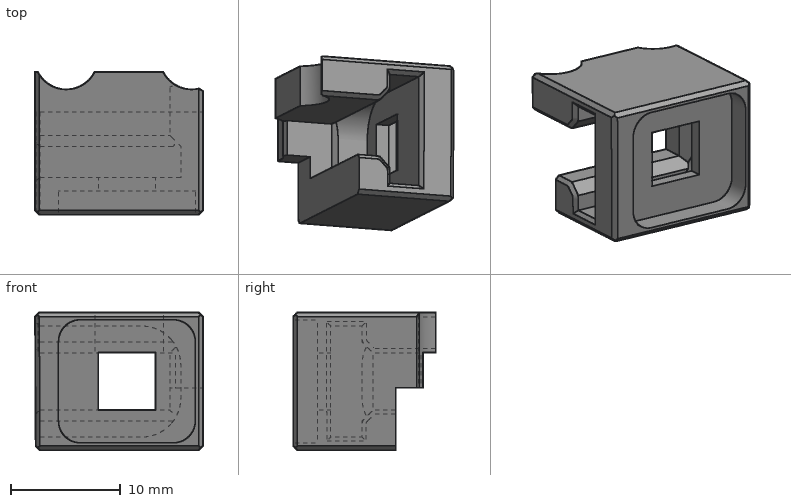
import cadquery as cq

WIDTH = 15.3
DEPTH = 13.0
HEIGHT = 12.55
SIDE_LEAN = 0.06
EDGE_CHAMFER = 0.4
CHAMFER_ANGLE = 45
MID_Z = HEIGHT / 2
CLEARANCE = 5.0

WINDOW_SIZE = 5.2
WINDOW_X = 8.37

RECESS_WIDTH = 12.45
RECESS_HEIGHT = 11.2
RECESS_RADIUS = 2.0
RECESS_DEPTH = 2.2

HEAD_FRONT_Y = 3.4
HEAD_BACK_Y = 6.25
HEAD_HEIGHT = 10.1
HEAD_END_X = 13.25
HEAD_END_RADIUS = 3.55
FLARE = 1.0
FLARE_ANGLE = 45
THROAT_FRONT_Y = HEAD_BACK_Y + FLARE
THROAT_END_X = HEAD_END_X - FLARE
THROAT_TOP_Z = MID_Z + WINDOW_SIZE / 2

BASE_BACK_Y = 9.36
WEB_BOTTOM_Z = 5.68
WEB_BACK_Y = 11.83
WEB_SLOPE_START_Y = 11.63
WEB_SLOPE_LENGTH = 0.5

SCALLOP_RADIUS = 2.89
SCALLOP_Y = 14.3
SCALLOP_MID_X = 8.55
SCALLOP_PITCH = 11.4

CORNER_BEVEL_WIDTH = 0.4
CORNER_BEVEL_INNER_Y = 11.5
CORNER_BEVEL_OUTER_Y = 11.25


def box(x_range, y_range, z_range):
    """Axis-aligned box between the given limits."""
    sizes = [high - low for low, high in (x_range, y_range, z_range)]
    corner = (x_range[0], y_range[0], z_range[0])
    return cq.Workplane("XY").box(*sizes, centered=False).translate(corner)


def front_plane(x, y):
    """Workplane facing -Y, centred at mid height."""
    return cq.Workplane("XZ", origin=(x, y, MID_Z))


def make_block():
    """Full-depth block with the leaning side and bevelled outer edges."""
    outline = [(SIDE_LEAN, 0), (WIDTH, 0), (WIDTH, HEIGHT), (0, HEIGHT)]
    block = cq.Workplane("XZ").polyline(outline).close().extrude(-DEPTH)
    mitred = block
    for edges in ("|Y", "|X and <Y", "<Y and (not |X)"):
        mitred = mitred.intersect(block.edges(edges).chamfer(EDGE_CHAMFER))
    return mitred


def cut_back_steps(body):
    """Leave the slab at full depth, the web shorter and the base shortest."""
    all_x = (-CLEARANCE, WIDTH + CLEARANCE)
    beyond = DEPTH + CLEARANCE
    body = body.cut(box(all_x, (BASE_BACK_Y, beyond), (-CLEARANCE, WEB_BOTTOM_Z)))
    body = body.cut(box(all_x, (WEB_BACK_Y, beyond), (WEB_BOTTOM_Z, THROAT_TOP_Z)))
    slope = (
        cq.Workplane("XY", origin=(0, 0, WEB_BOTTOM_Z))
        .moveTo(THROAT_END_X, WEB_SLOPE_START_Y)
        .lineTo(THROAT_END_X + WEB_SLOPE_LENGTH, WEB_BACK_Y)
        .lineTo(THROAT_END_X, WEB_BACK_Y)
        .close()
        .extrude(THROAT_TOP_Z - WEB_BOTTOM_Z)
    )
    return body.cut(slope)


def cut_scallops(body):
    """Two upright round notches in the back edge."""
    for side in (-1, 1):
        x = SCALLOP_MID_X + side * SCALLOP_PITCH / 2
        scallop = cq.Workplane("XY").center(x, SCALLOP_Y).circle(SCALLOP_RADIUS).extrude(HEIGHT)
        body = body.cut(scallop)
    return body


def cut_corner_bevel(body):
    """Bevel the upright corner beside the second scallop."""
    inner_x = WIDTH - CORNER_BEVEL_WIDTH
    bevel = (
        cq.Workplane("XY")
        .moveTo(inner_x, CORNER_BEVEL_INNER_Y)
        .lineTo(WIDTH, CORNER_BEVEL_OUTER_Y)
        .lineTo(WIDTH, DEPTH)
        .lineTo(inner_x, DEPTH)
        .close()
        .extrude(HEIGHT)
    )
    return body.cut(bevel)


def cut_front_recess(body):
    """Rounded recess in the front face and the square window behind it."""
    recess = (
        front_plane(WINDOW_X, 0)
        .rect(RECESS_WIDTH, RECESS_HEIGHT)
        .extrude(-RECESS_DEPTH)
        .edges("|Y")
        .fillet(RECESS_RADIUS)
    )
    window = front_plane(WINDOW_X, 0).rect(WINDOW_SIZE, WINDOW_SIZE).extrude(-HEAD_BACK_Y)
    return body.cut(recess).cut(window)


def slot_head(back_y):
    """Head of the slot, rounded at its inner end, from its front wall to back_y."""
    z_range = (MID_Z - HEAD_HEIGHT / 2, MID_Z + HEAD_HEIGHT / 2)
    head = box((-CLEARANCE, HEAD_END_X), (HEAD_FRONT_Y, back_y), z_range)
    return head.edges("|Y and >X").fillet(HEAD_END_RADIUS)


def cut_side_slot(body):
    """T-shaped slot with a flare between its head and throat."""
    throat_z = (MID_Z - WINDOW_SIZE / 2, THROAT_TOP_Z)
    throat = box((-CLEARANCE, THROAT_END_X), (HEAD_BACK_Y, DEPTH), throat_z)
    flare_length = HEAD_END_X + CLEARANCE
    flare = (
        front_plane(HEAD_END_X - flare_length / 2, HEAD_BACK_Y)
        .rect(flare_length, WINDOW_SIZE + 2 * FLARE)
        .extrude(-FLARE, taper=FLARE_ANGLE)
        .intersect(slot_head(THROAT_FRONT_Y))
    )
    return body.cut(slot_head(HEAD_BACK_Y)).cut(throat).cut(flare)


def cut_slot_mouth(body):
    """Bevel around the slot's T-shaped mouth on the -X face."""
    beyond = DEPTH + CLEARANCE
    upper_half = [
        (HEAD_FRONT_Y, HEAD_HEIGHT / 2),
        (HEAD_BACK_Y, HEAD_HEIGHT / 2),
        (HEAD_BACK_Y, WINDOW_SIZE / 2 + FLARE),
        (THROAT_FRONT_Y, WINDOW_SIZE / 2),
        (beyond, WINDOW_SIZE / 2),
    ]
    lower_half = [(y, -z) for y, z in reversed(upper_half)]
    mouth = (
        cq.Workplane("YZ", origin=(-EDGE_CHAMFER, 0, MID_Z))
        .polyline(upper_half + lower_half)
        .close()
        .offset2D(2 * EDGE_CHAMFER, "intersection")
        .extrude(2 * EDGE_CHAMFER, taper=CHAMFER_ANGLE)
    )
    return body.cut(mouth)


body = make_block()
body = cut_back_steps(body)
body = cut_scallops(body)
body = cut_corner_bevel(body)
body = cut_front_recess(body)
body = cut_side_slot(body)
result = cut_slot_mouth(body)